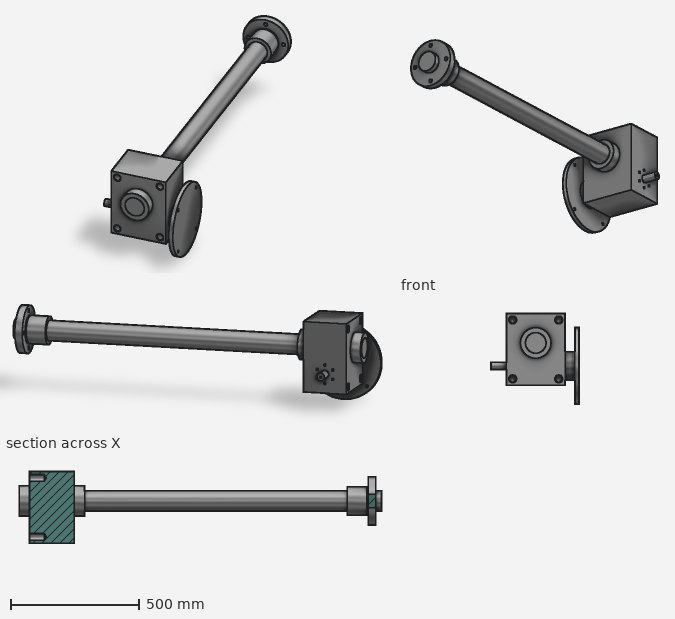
import cadquery as cq
import math


box_width = 230.0
box_depth = 175.0
box_height = 280.0
screw_to_top = 115.0
collar_diameter = 120.0
collar_length = 40.0
mount_spacing_x = 180.0
mount_thread_diameter = 30.0
mount_drill_diameter = 26.0
mount_depth = 58.0

cover_ring_diameter = 73.0
cover_hole_count = 6
tap_mouth_diameter = 8.3
tap_drill_diameter = 6.6
tap_depth = 15.0

drill_tip_angle = 118.0
first_on_axis = 90.0
first_on_diagonal = 45.0

overall_height = 355.0
shaft_diameter = 30.0
shaft_length = 60.0
flange_diameter = 300.0
flange_thickness = 17.0
hub_diameter = 112.0
hub_length = 37.0
flange_bolt_circle = 265.0
flange_hole_diameter = 10.0
flange_hole_count = 4

screw_diameter = 80.0
overall_length = 1438.0

nut_flange_diameter = 190.0
nut_flange_thickness = 30.0
nut_end_gap = 23.0
nut_body_diameter = 112.0
nut_body_length = 82.0
nut_neck_length = 5.0
nut_neck_diameter = 110.0
nut_bolt_circle = 150.0
nut_hole_diameter = 15.0
nut_hole_count = 4

drive_drop = overall_height - screw_to_top - flange_diameter / 2
mount_inset = (box_width - mount_spacing_x) / 2
box_left = -box_width / 2
box_right = box_width / 2
box_bottom = screw_to_top - box_height
box_front = -box_depth / 2
collar_front = box_front - collar_length
screw_far_end = overall_length - flange_diameter / 2
nut_far_face = screw_far_end - nut_end_gap
nut_step = nut_far_face - nut_flange_thickness
nut_shoulder = nut_step - nut_neck_length
nut_near_face = nut_step - nut_body_length


def cylinder_y(diameter, y_start, y_end):
    """Cylinder on the screw axis between two Y positions."""
    axis = cq.Vector(0, 1, 0)
    return cq.Workplane(cq.Solid.makeCylinder(diameter / 2, y_end - y_start, cq.Vector(0, y_start, 0), axis))


def cylinder_x(diameter, x_start, x_end, y=0.0, z=-drive_drop):
    """Cylinder parallel to X between two X positions."""
    axis = cq.Vector(1, 0, 0)
    return cq.Workplane(cq.Solid.makeCylinder(diameter / 2, x_end - x_start, cq.Vector(x_start, y, z), axis))


def ring_points(circle_diameter, count, start_angle):
    """Evenly spaced points on a circle, as pairs of offsets from its centre."""
    points = []
    for index in range(count):
        angle = math.radians(start_angle + index * 360 / count)
        points.append((circle_diameter / 2 * math.cos(angle), circle_diameter / 2 * math.sin(angle)))
    return points


def tapped_hole(mouth_diameter, drill_diameter, depth, position, direction):
    """Cutting tool: countersunk mouth, drilled bore and conical drill tip, pointing along direction."""
    mouth = mouth_diameter / 2
    bore = drill_diameter / 2
    tip = bore / math.tan(math.radians(drill_tip_angle / 2))
    profile = [(0, 0), (mouth, 0), (bore, mouth - bore), (bore, depth), (0, depth + tip)]
    tool = cq.Workplane("XZ").polyline(profile).close().revolve(360, (0, 0), (0, 1)).val()
    return tool.moved(cq.Location(cq.Plane(origin=position, normal=direction)))


def make_housing():
    """Gearbox block with a collar on both faces, bored for the screw and tapped for mounting."""
    box = cq.Workplane().box(box_width, box_depth, box_height)
    housing = box.translate((0, 0, screw_to_top - box_height / 2))
    housing = housing.union(cylinder_y(collar_diameter, collar_front, -collar_front))
    housing = housing.cut(cylinder_y(screw_diameter, collar_front, -collar_front))
    for x in (box_left + mount_inset, box_right - mount_inset):
        for z in (box_bottom + mount_inset, screw_to_top - mount_inset):
            housing = housing.cut(cq.Workplane(tapped_hole(
                mount_thread_diameter, mount_drill_diameter, mount_depth, (x, box_front, z), (0, 1, 0))))
    for y, z in ring_points(cover_ring_diameter, cover_hole_count, first_on_axis):
        housing = housing.cut(cq.Workplane(tapped_hole(
            tap_mouth_diameter, tap_drill_diameter, tap_depth, (box_left, y, z - drive_drop), (1, 0, 0))))
    return housing


def make_drive_shaft():
    """Input shaft stub with a tapped hole in its free end."""
    shaft_end = box_left - shaft_length
    shaft = cylinder_x(shaft_diameter, shaft_end, box_left)
    return shaft.cut(cq.Workplane(tapped_hole(
        tap_mouth_diameter, tap_drill_diameter, tap_depth, (shaft_end, 0, -drive_drop), (1, 0, 0))))


def make_motor_flange():
    """Round motor flange on a hub, with through bolt holes."""
    flange_near = box_right + hub_length
    flange_far = flange_near + flange_thickness
    flange = cylinder_x(flange_diameter, flange_near, flange_far)
    flange = flange.union(cylinder_x(hub_diameter, box_right, flange_near))
    for y, z in ring_points(flange_bolt_circle, flange_hole_count, first_on_diagonal):
        flange = flange.cut(cylinder_x(flange_hole_diameter, flange_near, flange_far, y, z - drive_drop))
    return flange


def make_screw():
    """Plain round lifting screw, flush with the front collar."""
    return cylinder_y(screw_diameter, collar_front, screw_far_end)


def make_nut():
    """Flanged nut on the screw, with a short relief neck and bolt holes at the flange."""
    nut = cylinder_y(nut_flange_diameter, nut_step, nut_far_face)
    nut = nut.union(cylinder_y(nut_neck_diameter, nut_shoulder, nut_step))
    nut = nut.union(cylinder_y(nut_body_diameter, nut_near_face, nut_shoulder))
    nut = nut.cut(cylinder_y(screw_diameter, nut_near_face, nut_far_face))
    for x, z in ring_points(nut_bolt_circle, nut_hole_count, first_on_axis):
        nut = nut.cut(cylinder_y(nut_hole_diameter, nut_step, nut_far_face).translate((x, 0, z)))
    return nut


housing = make_housing()
drive_shaft = make_drive_shaft()
motor_flange = make_motor_flange()
screw = make_screw()
nut = make_nut()

result = cq.Compound.makeCompound([
    housing.val(),
    drive_shaft.val(),
    motor_flange.val(),
    screw.val(),
    nut.val(),
])